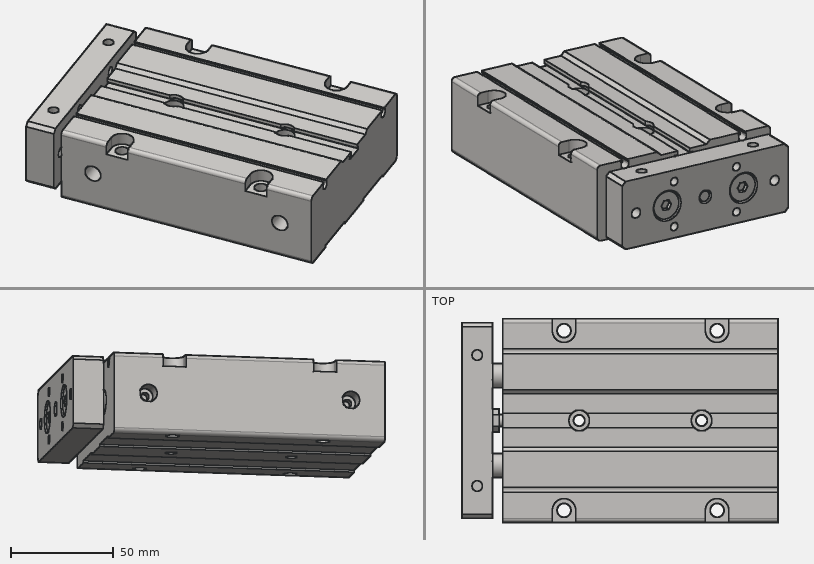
import cadquery as cq
import math


TOTAL_LENGTH = 155.0
PLATE_THICKNESS = 15.0
GAP = 5.0
HOUSING_START = PLATE_THICKNESS + GAP
HOUSING_LENGTH = TOTAL_LENGTH - HOUSING_START
HOUSING_MIDDLE = HOUSING_START + HOUSING_LENGTH / 2

HOUSING_WIDTH = 100.0
HOUSING_HEIGHT = 40.0
HOUSING_TOP = HOUSING_HEIGHT / 2
HOUSING_BOTTOM = -HOUSING_HEIGHT / 2
TOP_EDGE_RADIUS = 2.0
BOTTOM_EDGE_RADIUS = 2.3

TOP_RECESS_WIDTH = 30.2
TOP_RECESS_DEPTH = 2.0
T_SLOT_WIDTH = 7.0
T_SLOT_LIP = 2.0
T_SLOT_UNDERCUT = 1.5
T_SLOT_DEPTH = 3.4
SENSOR_GROOVE_OFFSET = 34.0
SENSOR_SLIT_WIDTH = 2.6
SENSOR_SLIT_DEPTH = 1.1
SENSOR_GROOVE_WIDTH = 4.3
SENSOR_GROOVE_DEPTH = 4.6
BOTTOM_RECESS_INNER = 11.0
BOTTOM_RECESS_OUTER = 33.2
BOTTOM_RECESS_DEPTH = 1.0

CORNER_HOLE_DIAMETER = 6.7
CORNER_BORE_DIAMETER = 11.5
CORNER_BORE_DEPTH = 6.4
CORNER_HOLE_OFFSET = 44.0
CORNER_HOLE_START = HOUSING_START + 30.0
CORNER_HOLE_SPACING = 75.0
CENTER_HOLE_DIAMETER = 5.5
CENTER_BORE_DIAMETER = 10.0
CENTER_BORE_DEPTH = 11.6
CENTER_HOLE_SPACING = 60.0

PORT_DIAMETER = 8.5
PORT_TAPER = 1 / 16
PORT_TAPER_ANGLE = math.degrees(math.atan(PORT_TAPER / 2))
PORT_DEPTH = 10.0
PORT_INNER_DIAMETER = 4.0
PORT_INNER_DEPTH = 5.0
PORT_END_DISTANCE = 17.0

PLATE_WIDTH = 96.0
PLATE_HEIGHT = 36.0
PLATE_CHAMFER = 2.0
SIDE_HOLE_DIAMETER = 5.1
SIDE_HOLE_OFFSET = 40.0
FACE_HOLE_DIAMETER = 4.2
FACE_HOLE_Y = 18.0
FACE_HOLE_Z = 12.0
TOP_HOLE_DIAMETER = 5.1
TOP_HOLE_DEPTH = 10.0
TOP_HOLE_OFFSET = 32.1

ROD_DIAMETER = 12.0
ROD_OFFSET = 22.0
SCREW_FACE_DIAMETER = 14.4
STOP_BOLT_DIAMETER = 6.0
STOP_BOLT_TIP_DIAMETER = 5.5
COUNTERSINK_DEPTH = 0.8
SOCKET_FLATS = 5.0
SOCKET_DEPTH = 2.2
NUT_FLATS = 9.9
NUT_THICKNESS = 3.3


def hexagon_diameter(across_flats):
    """Corner-to-corner size of a hexagon."""
    return across_flats / math.cos(math.radians(30))


def channel(y_center, width, z_min, z_max):
    """Rectangular bar over the whole housing length, for cutting a channel."""
    return (
        cq.Workplane("XY")
        .box(HOUSING_LENGTH, width, z_max - z_min)
        .translate((HOUSING_MIDDLE, y_center, (z_min + z_max) / 2))
    )


def top_recess():
    """Wide shallow recess in the top with 45-degree sides."""
    half_top = TOP_RECESS_WIDTH / 2
    half_floor = half_top - TOP_RECESS_DEPTH
    floor = HOUSING_TOP - TOP_RECESS_DEPTH
    outline = [
        (-half_top, HOUSING_TOP),
        (half_top, HOUSING_TOP),
        (half_floor, floor),
        (-half_floor, floor),
    ]
    return (
        cq.Workplane("YZ", origin=(HOUSING_START, 0, 0))
        .polyline(outline)
        .close()
        .extrude(HOUSING_LENGTH)
    )


def t_slot():
    """T-shaped slot in the floor of the top recess."""
    mouth = HOUSING_TOP - TOP_RECESS_DEPTH
    lip_bottom = mouth - T_SLOT_LIP
    neck = channel(0, T_SLOT_WIDTH, lip_bottom, mouth)
    undercut = channel(0, T_SLOT_WIDTH + 2 * T_SLOT_UNDERCUT, mouth - T_SLOT_DEPTH, lip_bottom)
    return neck.union(undercut)


def sensor_groove(y_center):
    """Round-bottomed sensor groove that opens to the top through a narrower slit."""
    floor_radius = SENSOR_GROOVE_WIDTH / 2
    ceiling = HOUSING_TOP - SENSOR_SLIT_DEPTH
    floor_axis = HOUSING_TOP - SENSOR_GROOVE_DEPTH + floor_radius
    slit = channel(y_center, SENSOR_SLIT_WIDTH, ceiling, HOUSING_TOP)
    sides = channel(y_center, SENSOR_GROOVE_WIDTH, floor_axis, ceiling)
    floor = (
        cq.Workplane("YZ", origin=(HOUSING_START, y_center, floor_axis))
        .circle(floor_radius)
        .extrude(HOUSING_LENGTH)
    )
    return slit.union(sides).union(floor)


def drill_down(x, y, top, diameter, depth):
    return cq.Workplane("XY", origin=(x, y, top)).circle(diameter / 2).extrude(-depth)


def corner_mount(x, side):
    """Through hole whose counterbore runs out through the side of the housing."""
    y = side * CORNER_HOLE_OFFSET
    hole = drill_down(x, y, HOUSING_TOP, CORNER_HOLE_DIAMETER, HOUSING_HEIGHT)
    bore = drill_down(x, y, HOUSING_TOP, CORNER_BORE_DIAMETER, CORNER_BORE_DEPTH)
    run_out_length = HOUSING_WIDTH / 2 - CORNER_HOLE_OFFSET
    run_out = (
        cq.Workplane("XY")
        .box(CORNER_BORE_DIAMETER, run_out_length, CORNER_BORE_DEPTH)
        .translate((x, y + side * run_out_length / 2, HOUSING_TOP - CORNER_BORE_DEPTH / 2))
    )
    return hole.union(bore).union(run_out)


def center_mount(x):
    """Counterbored through hole on the middle line."""
    hole = drill_down(x, 0, HOUSING_TOP, CENTER_HOLE_DIAMETER, HOUSING_HEIGHT)
    bore = drill_down(x, 0, HOUSING_TOP, CENTER_BORE_DIAMETER, CENTER_BORE_DEPTH)
    return hole.union(bore)


def port(x):
    """Stepped blind air port in the -Y side."""
    face = cq.Workplane("XZ", origin=(x, -HOUSING_WIDTH / 2, 0))
    mouth = face.circle(PORT_DIAMETER / 2).extrude(-PORT_DEPTH, taper=PORT_TAPER_ANGLE)
    passage = face.circle(PORT_INNER_DIAMETER / 2).extrude(-PORT_DEPTH - PORT_INNER_DEPTH)
    return mouth.union(passage)


def make_housing():
    body = (
        cq.Workplane("XY")
        .box(HOUSING_LENGTH, HOUSING_WIDTH, HOUSING_HEIGHT)
        .translate((HOUSING_MIDDLE, 0, 0))
        .edges("|X and >Z")
        .fillet(TOP_EDGE_RADIUS)
        .edges("|X and <Z")
        .fillet(BOTTOM_EDGE_RADIUS)
    )
    body = body.cut(top_recess()).cut(t_slot())
    for side in (-1, 1):
        body = body.cut(sensor_groove(side * SENSOR_GROOVE_OFFSET))
        recess_center = side * (BOTTOM_RECESS_INNER + BOTTOM_RECESS_OUTER) / 2
        recess_width = BOTTOM_RECESS_OUTER - BOTTOM_RECESS_INNER
        recess_ceiling = HOUSING_BOTTOM + BOTTOM_RECESS_DEPTH
        body = body.cut(channel(recess_center, recess_width, HOUSING_BOTTOM, recess_ceiling))
        for x in (CORNER_HOLE_START, CORNER_HOLE_START + CORNER_HOLE_SPACING):
            body = body.cut(corner_mount(x, side))
        body = body.cut(center_mount(HOUSING_MIDDLE + side * CENTER_HOLE_SPACING / 2))
    for x in (HOUSING_START + PORT_END_DISTANCE, TOTAL_LENGTH - PORT_END_DISTANCE):
        body = body.cut(port(x))
    return body


def along_x(x, y, z, diameter, length):
    return cq.Workplane("YZ", origin=(x, y, z)).circle(diameter / 2).extrude(length)


def hexagon_along_x(x, y, across_flats, length):
    """Hexagonal bar along X with its corners pointing along Y."""
    return cq.Workplane("YZ", origin=(x, y, 0)).polygon(6, hexagon_diameter(across_flats)).extrude(length)


def countersink(y, floor_diameter):
    """Shallow 45-degree countersink in the outer plate face, down to a fastener end."""
    mouth_radius = floor_diameter / 2 + COUNTERSINK_DEPTH
    return cq.Workplane("YZ", origin=(0, y, 0)).circle(mouth_radius).extrude(COUNTERSINK_DEPTH, taper=45)


def make_plate():
    """Tool plate with its mounting holes."""
    plate = (
        cq.Workplane("XY")
        .box(PLATE_THICKNESS, PLATE_WIDTH, PLATE_HEIGHT)
        .translate((PLATE_THICKNESS / 2, 0, 0))
        .edges("|X")
        .chamfer(PLATE_CHAMFER)
    )
    for side in (-1, 1):
        plate = plate.cut(along_x(0, side * SIDE_HOLE_OFFSET, 0, SIDE_HOLE_DIAMETER, PLATE_THICKNESS))
        for z in (-FACE_HOLE_Z, FACE_HOLE_Z):
            plate = plate.cut(along_x(0, side * FACE_HOLE_Y, z, FACE_HOLE_DIAMETER, PLATE_THICKNESS))
        top_hole = drill_down(
            PLATE_THICKNESS / 2, side * TOP_HOLE_OFFSET, PLATE_HEIGHT / 2, TOP_HOLE_DIAMETER, TOP_HOLE_DEPTH
        )
        plate = plate.cut(top_hole)
    return plate


def make_slide():
    """Tool plate with the two rods, their socket screws and the stop bolt with its nut."""
    slide = make_plate()
    for y in (-ROD_OFFSET, ROD_OFFSET):
        slide = slide.union(along_x(PLATE_THICKNESS, y, 0, ROD_DIAMETER, GAP))
        slide = slide.cut(countersink(y, SCREW_FACE_DIAMETER))
        slide = slide.cut(hexagon_along_x(0, y, SOCKET_FLATS, COUNTERSINK_DEPTH + SOCKET_DEPTH))
    slide = slide.cut(countersink(0, STOP_BOLT_TIP_DIAMETER))
    slide = slide.union(hexagon_along_x(PLATE_THICKNESS, 0, NUT_FLATS, NUT_THICKNESS))
    return slide.union(along_x(PLATE_THICKNESS, 0, 0, STOP_BOLT_DIAMETER, GAP))


housing = make_housing()
slide = make_slide()
result = cq.Compound.makeCompound([housing.val(), slide.val()])